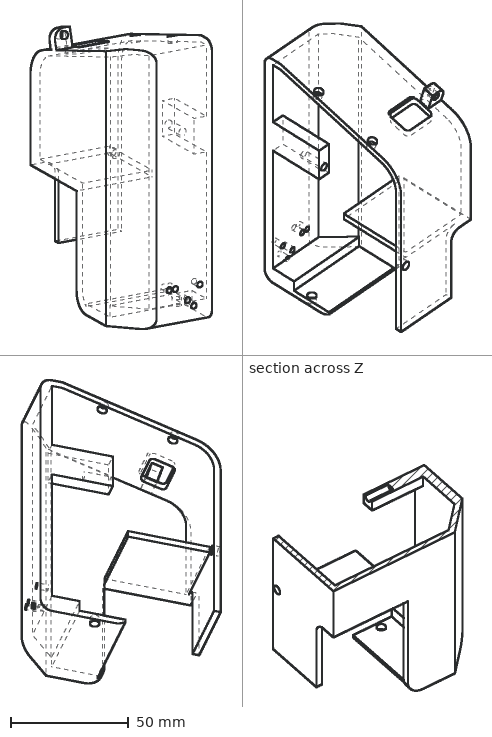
import cadquery as cq
import math

LENGTH = 80.0
DEPTH = 43.0
HEIGHT = 125.0
WALL = 3.0
RIGHT_WALL = 5.0
SLOPE_DEG = 16.0
SLOPE_TOP_X = 70.4
NOSE_RADIUS = 15.0
RIGHT_RADIUS = 5.0
FOOT_RADIUS = 8.0
CHAMFER = 15.75

HEAD_BOTTOM = 53.2
COLUMN_X = 39.3
FLOOR_X = COLUMN_X + WALL
TONGUE_BOTTOM = 17.0
TONGUE_Y = 12.1
TONGUE_RADIUS = 5.0

SHELF_Y = 37.0
POST_X = 48.0
POST_HOLE_Z = 79.0
POST_WIDTH = 6.0
POST_BOTTOM = 74.0
POST_TOP = 90.0
POST_HOLE_DIA = 3.5
POST_HOLE_DEPTH = 12.0
STEP_X = 62.7
STEP_TOP = 8.2

MOUNT_DIA = 4.0
MOUNT_Y = 40.0
ROOF_HOLES_X = (19.6, 51.0)
ROOF_HOLE_DEPTH = 2 * WALL
FLOOR_HOLE_X = 55.1
LEFT_HOLE_Z = 52.2
VENT_DIA = 2.55
VENT_HOLES_YZ = ((22.0, 17.0), (25.0, 17.0), (37.0, 17.0), (31.0, 11.0), (34.0, 8.0))

WINDOW_X = (14.1, 25.2)
WINDOW_Y = (8.4, 24.3)
WINDOW_RADIUS = 2.0
LEDGE_X = 26.2
WINDOW_DEPTH = 12.0

LUG_X = 17.4
LUG_THICKNESS = 5.0
LUG_WIDTH = 8.0
LUG_HEIGHT = 9.0
LUG_RADIUS = 5.0
LUG_ROOT = 1.0
LUG_HOLE_Y = 4.8
LUG_HOLE_HEIGHT = 5.8
LUG_HOLE_DIA = 3.5

SLOPE = math.tan(math.radians(SLOPE_DEG))
ROOF_DROP = WALL / math.cos(math.radians(SLOPE_DEG))


def roof_z(x):
    """Height of the sloped roof above a given X."""
    return HEIGHT - (SLOPE_TOP_X - x) * SLOPE


def box(x, y, z):
    """Box given by its (low, high) range on each axis."""
    return (
        cq.Workplane("XY")
        .box(x[1] - x[0], y[1] - y[0], z[1] - z[0], centered=False)
        .translate((x[0], y[0], z[0]))
    )


def side_prism(points, y_start, y_end):
    """Prism of an XZ outline between two Y positions."""
    plane = cq.Plane(origin=(0, y_start, 0), xDir=(1, 0, 0), normal=(0, -1, 0))
    return cq.Workplane(plane).polyline(points).close().extrude(y_start - y_end)


def edge_at(x, z):
    """Selector for the Y-parallel edge next to a point of the XZ outline."""
    return cq.selectors.NearestToPointSelector((x, DEPTH / 2, z))


def roof_plane(x, y):
    """Plane on the roof surface; local X runs up the slope."""
    angle = math.radians(SLOPE_DEG)
    return cq.Plane(
        origin=(x, y, roof_z(x)),
        xDir=(math.cos(angle), 0, math.sin(angle)),
        normal=(-math.sin(angle), 0, math.cos(angle)),
    )


def cut_front_edge(solid, size):
    """Remove the 45 degree corner between the front and the +X side."""
    corner = (
        cq.Workplane("XY")
        .polyline([(LENGTH - size, 0), (LENGTH, 0), (LENGTH, size)])
        .close()
        .extrude(HEIGHT)
    )
    return solid.cut(corner)


def outer_body():
    outline = [(0, 0), (LENGTH, 0), (LENGTH, HEIGHT), (SLOPE_TOP_X, HEIGHT), (0, roof_z(0))]
    body = side_prism(outline, 0, DEPTH)
    body = body.edges(edge_at(0, roof_z(0))).fillet(NOSE_RADIUS)
    body = body.edges(edge_at(LENGTH, HEIGHT)).fillet(RIGHT_RADIUS)
    body = body.edges(edge_at(LENGTH, 0)).fillet(RIGHT_RADIUS)
    return cut_front_edge(body, CHAMFER)


def cavity():
    """Inside space, open towards +Y, with floor and walls left standing."""
    right = LENGTH - RIGHT_WALL
    outline = [
        (WALL, WALL),
        (right, WALL),
        (right, HEIGHT - ROOF_DROP),
        (SLOPE_TOP_X, HEIGHT - ROOF_DROP),
        (WALL, roof_z(WALL) - ROOF_DROP),
    ]
    space = side_prism(outline, WALL, DEPTH)
    space = space.edges(edge_at(WALL, roof_z(WALL) - ROOF_DROP)).fillet(NOSE_RADIUS - WALL)
    return cut_front_edge(space, CHAMFER + WALL * math.sqrt(2))


def lower_opening():
    """Space below the head, leaving the tongue of the left wall."""
    under_head = box((WALL, COLUMN_X), (0, DEPTH), (0, HEAD_BOTTOM))
    column_round = box((COLUMN_X, COLUMN_X + FOOT_RADIUS), (0, DEPTH), (0, FOOT_RADIUS)).cut(
        cq.Workplane("XZ")
        .center(COLUMN_X + FOOT_RADIUS, FOOT_RADIUS)
        .circle(FOOT_RADIUS)
        .extrude(-DEPTH)
    )
    beside_floor = box((COLUMN_X, FLOOR_X), (WALL, DEPTH), (0, WALL))
    below_tongue = box((0, WALL), (0, DEPTH), (0, TONGUE_BOTTOM))
    beside_tongue = box((0, WALL), (0, TONGUE_Y), (0, HEAD_BOTTOM))
    beside_tongue = beside_tongue.edges(">Y and >Z").fillet(TONGUE_RADIUS)
    return under_head.union(column_round).union(beside_floor).union(below_tongue).union(beside_tongue)


def inner_walls():
    """Shelf under the head, screw post, and the raised step on the floor."""
    inside_right = LENGTH - RIGHT_WALL
    shelf = box((0, COLUMN_X), (0, SHELF_Y), (HEAD_BOTTOM, HEAD_BOTTOM + WALL))
    post = box(
        (POST_X, inside_right),
        (DEPTH - POST_WIDTH, DEPTH),
        (POST_BOTTOM, POST_TOP),
    )
    hole = (
        cq.Workplane("YZ", origin=(POST_X, 0, 0))
        .center(MOUNT_Y, POST_HOLE_Z)
        .circle(POST_HOLE_DIA / 2)
        .extrude(POST_HOLE_DEPTH)
    )
    step = box((STEP_X, inside_right), (0, DEPTH), (WALL, STEP_TOP))
    return shelf.union(post.cut(hole)).union(step)


def mounting_holes():
    floor = cq.Workplane("XY").center(FLOOR_HOLE_X, MOUNT_Y).circle(MOUNT_DIA / 2).extrude(WALL)
    left = cq.Workplane("YZ").center(MOUNT_Y, LEFT_HOLE_Z).circle(MOUNT_DIA / 2).extrude(WALL)
    holes = floor.union(left)
    for x in ROOF_HOLES_X:
        plane = roof_plane(x, MOUNT_Y)
        roof_hole = cq.Workplane(plane).circle(MOUNT_DIA / 2).extrude(-ROOF_HOLE_DEPTH)
        holes = holes.union(roof_hole)
    return holes


def vent_holes():
    return (
        cq.Workplane("YZ", origin=(LENGTH - RIGHT_WALL, 0, 0))
        .pushPoints(VENT_HOLES_YZ)
        .circle(VENT_DIA / 2)
        .extrude(RIGHT_WALL)
    )


def roof_window():
    ledge_z = roof_z(WINDOW_X[1])
    window = box(WINDOW_X, WINDOW_Y, (ledge_z - WINDOW_DEPTH, HEIGHT)).edges("|Z").fillet(WINDOW_RADIUS)
    ledge = box((WINDOW_X[0], LEDGE_X), WINDOW_Y, (ledge_z, HEIGHT)).edges("|Z").fillet(WINDOW_RADIUS)
    return window.union(ledge)


def lug():
    plane = roof_plane(LUG_X, 0)
    lug_plane = cq.Plane(origin=plane.origin, xDir=plane.yDir, normal=plane.xDir)
    block = (
        cq.Workplane(lug_plane)
        .moveTo(0, -LUG_ROOT)
        .lineTo(LUG_WIDTH, -LUG_ROOT)
        .lineTo(LUG_WIDTH, LUG_HEIGHT)
        .lineTo(LUG_RADIUS, LUG_HEIGHT)
        .radiusArc((0, LUG_HEIGHT - LUG_RADIUS), -LUG_RADIUS)
        .close()
        .extrude(LUG_THICKNESS)
    )
    hole = (
        cq.Workplane(lug_plane)
        .center(LUG_HOLE_Y, LUG_HOLE_HEIGHT)
        .circle(LUG_HOLE_DIA / 2)
        .extrude(LUG_THICKNESS)
    )
    return block.cut(hole)


body = outer_body()
inside = cavity().cut(inner_walls())
body = body.cut(inside).cut(lower_opening())
body = body.cut(mounting_holes()).cut(vent_holes()).cut(roof_window())
result = body.union(lug())